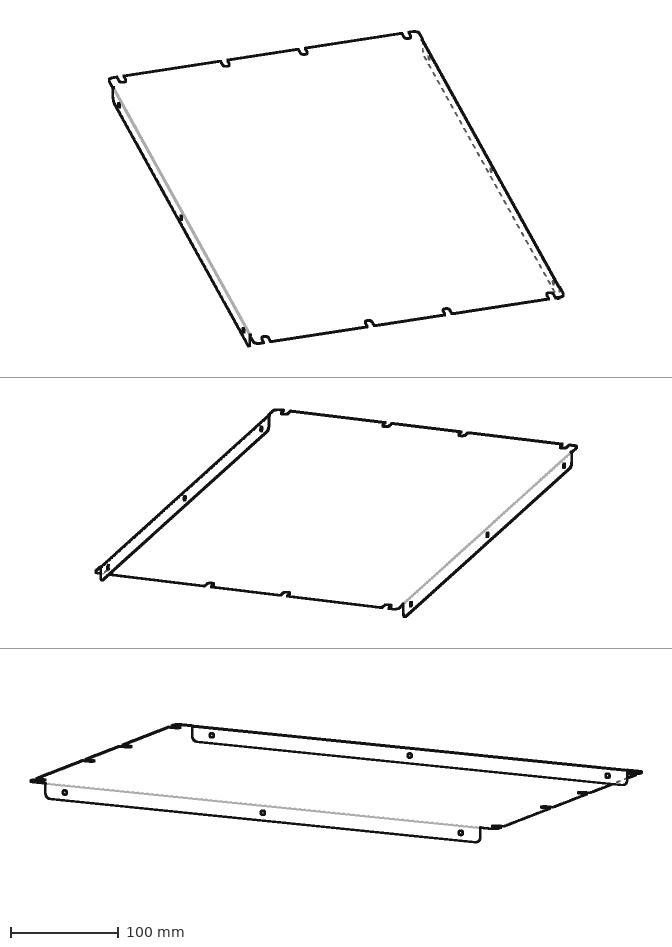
import cadquery as cq

panel_length = 486.5
panel_width = 299.6
panel_height = 15.0
sheet = 0.8
corner_radius = 5.0

flange_length = 452.5
flange_corner_radius = 5.0
bend_inner_radius = 0.6
bend_outer_radius = bend_inner_radius + sheet

slot_width = 6.5
slot_depth = 10.5
slot_row_offsets = (37.5, 137.5)

hole_diameter = 4.2
hole_pitch = 206.0
hole_drop = panel_height / 2

half_length = panel_length / 2
half_width = panel_width / 2


def make_plate():
    """Flat panel with rounded corners, its top face at Z = 0."""
    plate = cq.Workplane("XY").box(panel_length, panel_width, sheet, centered=(True, True, False))
    return plate.edges("|Z").fillet(corner_radius).translate((0, 0, -sheet))


def make_channel():
    """Plate middle folded down along both long edges, with rounded bends."""
    channel = (
        cq.Workplane("YZ")
        .rect(panel_width, 2 * panel_height)
        .extrude(flange_length / 2, both=True)
        .edges("|X and >Z")
        .fillet(bend_outer_radius)
        .translate((0, 0, -panel_height))
    )
    inner_width = panel_width - 2 * sheet
    cavity = (
        cq.Workplane("YZ")
        .rect(inner_width, 2 * panel_height)
        .extrude(flange_length / 2, both=True)
        .edges("|X and >Z")
        .fillet(bend_inner_radius)
        .translate((0, 0, -panel_height - sheet))
    )
    keep = cq.Workplane("XY").box(flange_length, panel_width, panel_height, centered=(True, True, False))
    folded = channel.cut(cavity).intersect(keep.translate((0, 0, -panel_height)))
    return folded.edges("|Y and <Z").fillet(flange_corner_radius)


def make_bend_clearance():
    """Blocks that remove the square plate edge where the flanges are bent."""
    block = cq.Workplane("XY").box(flange_length, bend_outer_radius, sheet, centered=(True, True, False))
    offset = half_width - bend_outer_radius / 2
    return block.translate((0, offset, -sheet)).union(block.translate((0, -offset, -sheet)))


def make_slots():
    """Round-ended slot cutters along both short ends."""
    points = [
        (end * half_length, side * row)
        for end in (-1, 1)
        for side in (-1, 1)
        for row in slot_row_offsets
    ]
    return cq.Workplane("XY").pushPoints(points).slot2D(2 * slot_depth, slot_width).extrude(-sheet)


def make_flange_holes():
    """Hole cutters running through both flanges."""
    points = [(x, -hole_drop) for x in (-hole_pitch, 0, hole_pitch)]
    return cq.Workplane("XZ").pushPoints(points).circle(hole_diameter / 2).extrude(half_width, both=True)


result = (
    make_plate()
    .cut(make_bend_clearance())
    .union(make_channel())
    .cut(make_slots())
    .cut(make_flange_holes())
)